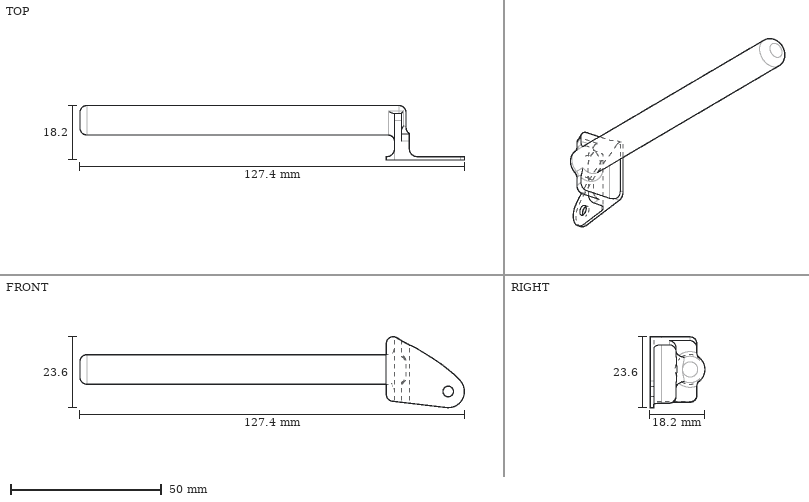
import cadquery as cq
import math

rod_diameter = 9.91
rod_radius = rod_diameter / 2
rod_length = 108.1
rod_end_round = 2.45

overall_length = 127.43
overall_depth = 18.16
plate_left = 101.5
plate_top = 10.87
plate_height = 23.57
plate_front = rod_radius - overall_depth
plate_thickness = 1.2
corner_radius = 2.3
tip_radius = 5.4
hole_diameter = 3.43
plate_back = plate_front + plate_thickness
tip_x = overall_length - tip_radius
tip_z = plate_top - plate_height + tip_radius

root_fillet = 2.5
wall_setback = 2.7
wall_left = plate_left + wall_setback
wall_thickness = 2.3
wall_end = 2.27
step_thickness = 5.0
step_allowance = 7.0
step_end = -4.6
wall_back = wall_left + wall_thickness
step_back = wall_left + step_thickness
wall_corner_radius = 2.3
rod_fillet = 2.0

lower_edge_angle = math.radians(-96.7)
upper_corner_angle = math.radians(80)
upper_tip_angle = math.radians(40)
upper_edge_points = [(106.5, 9.55), (110.0, 7.8), (115.0, 4.95), (120.0, 1.6)]
corner_x = plate_left + corner_radius
upper_corner_z = plate_top - corner_radius


def on_circle(x, z, radius, angle):
    return (x + radius * math.cos(angle), z + radius * math.sin(angle))


def falling_tangent(normal_angle):
    return (math.sin(normal_angle), -math.cos(normal_angle))


def lug_outline():
    """Wire of the lug in X and Z, on the front face of the plate."""
    normal_x = math.cos(lower_edge_angle)
    normal_z = math.sin(lower_edge_angle)
    lower_corner_z = tip_z + (tip_radius - corner_radius - (corner_x - tip_x) * normal_x) / normal_z
    upper_start = on_circle(corner_x, upper_corner_z, corner_radius, upper_corner_angle)
    upper_end = on_circle(tip_x, tip_z, tip_radius, upper_tip_angle)
    lower_tip = on_circle(tip_x, tip_z, tip_radius, lower_edge_angle)
    lower_corner = on_circle(corner_x, lower_corner_z, corner_radius, lower_edge_angle)
    mid_corner_angle = (lower_edge_angle - math.pi) / 2
    upper_mid_angle = (upper_corner_angle + math.pi) / 2
    return (
        cq.Workplane("XZ", origin=(0, plate_front, 0))
        .moveTo(plate_left, upper_corner_z)
        .threePointArc(on_circle(corner_x, upper_corner_z, corner_radius, upper_mid_angle), upper_start)
        .spline(
            upper_edge_points + [upper_end],
            tangents=[falling_tangent(upper_corner_angle), falling_tangent(upper_tip_angle)],
            includeCurrent=True,
        )
        .threePointArc((overall_length, tip_z), lower_tip)
        .lineTo(*lower_corner)
        .threePointArc(
            on_circle(corner_x, lower_corner_z, corner_radius, mid_corner_angle),
            (plate_left, lower_corner_z),
        )
        .close()
    )


def make_rod():
    """Round rod with both ends rounded over."""
    return (
        cq.Workplane("YZ")
        .circle(rod_radius)
        .extrude(rod_length)
        .edges()
        .fillet(rod_end_round)
    )


def make_blank():
    """Plate and wall inside the lug outline, with the step still too thick."""
    depth = wall_end - plate_front
    inset = root_fillet * (1 - math.sqrt(0.5))
    return (
        cq.Workplane("XY", origin=(0, 0, -plate_height))
        .moveTo(plate_left, plate_front)
        .lineTo(overall_length, plate_front)
        .lineTo(overall_length, plate_back)
        .lineTo(step_back + step_allowance, plate_back)
        .lineTo(step_back + step_allowance, step_end)
        .lineTo(wall_back, step_end)
        .lineTo(wall_back, wall_end)
        .lineTo(wall_left, wall_end)
        .lineTo(wall_left, plate_back + root_fillet)
        .threePointArc((wall_left - inset, plate_back + inset), (wall_left - root_fillet, plate_back))
        .lineTo(plate_left, plate_back)
        .close()
        .extrude(2 * plate_height)
        .intersect(lug_outline().extrude(-depth))
    )


def round_free_ends(blank):
    """Round the upper and lower corners where the wall and the step end toward +Y."""
    margin = 0.1
    for end in (wall_end, step_end):
        end_zone = cq.selectors.BoxSelector(
            (wall_left - margin, end - margin, -plate_height),
            (overall_length, end + margin, plate_height),
        )
        blank = blank.edges(end_zone).edges("not |Z").fillet(wall_corner_radius)
    return blank


def blend_rod(body):
    """Fillet every edge where the rod meets the wall and the step."""
    margin = 0.05
    joint_zone = cq.selectors.BoxSelector(
        (wall_left - margin, -rod_radius - margin, -rod_radius - margin),
        (rod_length - margin, wall_end + margin, rod_radius + margin),
        boundingbox=True,
    )
    return body.edges(joint_zone).fillet(rod_fillet)


def clearance_behind_step():
    """Space removed behind the step, rounded at the root, that leaves the thin plate."""
    return (
        cq.Workplane("XY", origin=(step_back, plate_back, -plate_height))
        .rect(overall_length, overall_depth, centered=False)
        .extrude(2 * plate_height)
        .edges("|Z and <X and <Y")
        .fillet(root_fillet)
    )


def pivot_hole():
    """Through hole at the center of the rounded tip."""
    return (
        cq.Workplane("XZ", origin=(tip_x, plate_front, tip_z))
        .circle(hole_diameter / 2)
        .extrude(-plate_thickness)
    )


body = round_free_ends(make_blank()).union(make_rod())
body = blend_rod(body).cut(clearance_behind_step())
result = body.cut(pivot_hole())